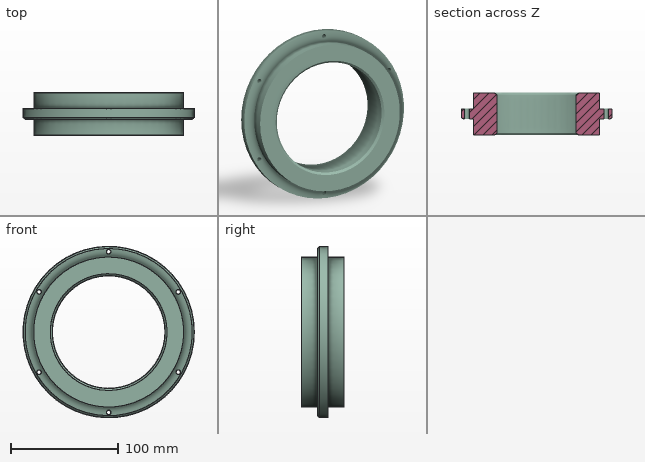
import cadquery as cq

body_diameter = 140.0
body_length = 40.0
bore_diameter = 105.0
bore_chamfer = 2.0

flange_diameter = 160.0
flange_thickness = 10.0
flange_chamfer = 2.0

hole_count = 6
hole_diameter = 4.0
hole_circle_diameter = (body_diameter + flange_diameter) / 2
first_hole_angle = 90.0


def cylinder_along_y(diameter, length):
    """Solid cylinder on the Y axis, centred on the origin."""
    return cq.Workplane("XZ", origin=(0, length / 2, 0)).circle(diameter / 2).extrude(length)


def make_body():
    """Tube turned about Y, with both mouths of its bore chamfered."""
    outer_radius = body_diameter / 2
    bore_radius = bore_diameter / 2
    mouth_radius = bore_radius + bore_chamfer
    end = body_length / 2
    bore_end = end - bore_chamfer
    return (
        cq.Workplane("XY")
        .moveTo(outer_radius, -end)
        .lineTo(outer_radius, end)
        .lineTo(mouth_radius, end)
        .lineTo(bore_radius, bore_end)
        .lineTo(bore_radius, -bore_end)
        .lineTo(mouth_radius, -end)
        .close()
        .revolve(360, (0, 0, 0), (0, 1, 0))
    )


def make_flange():
    """Annular disc around the body, with its -Y rim chamfered."""
    disc = cylinder_along_y(flange_diameter, flange_thickness)
    disc = disc.faces("<Y").edges().chamfer(flange_chamfer)
    return disc.cut(cylinder_along_y(body_diameter, flange_thickness))


def make_flange_holes():
    """Cutters for the evenly spaced flange holes."""
    return (
        cq.Workplane("XZ", origin=(0, flange_thickness / 2, 0))
        .polarArray(hole_circle_diameter / 2, first_hole_angle, 360, hole_count)
        .circle(hole_diameter / 2)
        .extrude(flange_thickness)
    )


result = make_body().union(make_flange()).cut(make_flange_holes())